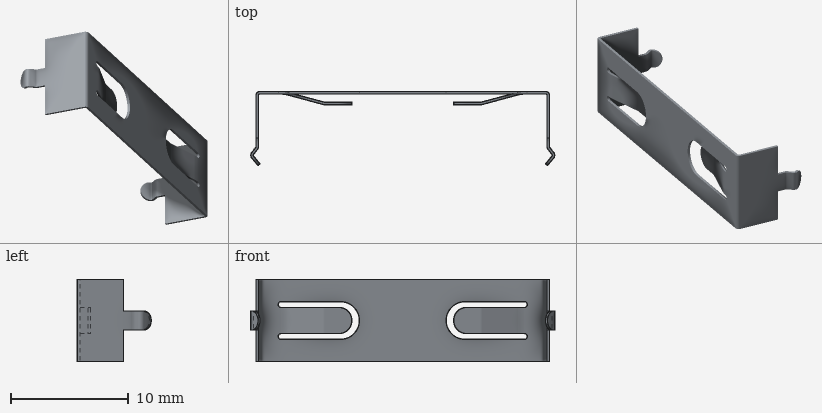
import cadquery as cq
import math

overall_length = 25.8
sheet = 0.23
height = 7.0

body_length = 24.92
leg_depth = 3.95
corner_inner_radius = 0.08

tab_width = 1.63
tab_neck = 0.72
tab_bend_radius = 0.15
tab_out_angle = 38.0
tab_return_angle = 40.0
tab_overhang = (overall_length - body_length) / 2

window_outer_end = 10.55
window_inner_end = 3.7
window_width = 3.17
window_corner_radius = 0.2
tongue_root = 10.32
tongue_end = 4.3
tongue_width = 2.25
tongue_angle = 15.0
tongue_drop = 0.9
tongue_root_radius = 2.06
tongue_tip_radius = 0.35


def step(point, heading, distance):
    """Point reached from `point` along `heading` (degrees)."""
    angle = math.radians(heading)
    return (point[0] + distance * math.cos(angle), point[1] + distance * math.sin(angle))


def bend_turn(centre, pose, angle):
    """Mid-surface pose after turning by `angle` around the bend centre."""
    point, heading = pose
    turn = math.radians(angle)
    dx, dy = point[0] - centre[0], point[1] - centre[1]
    turned = (
        centre[0] + dx * math.cos(turn) - dy * math.sin(turn),
        centre[1] + dx * math.sin(turn) + dy * math.cos(turn),
    )
    return turned, heading + angle


def face_point(pose, side):
    """Point on the left (+1) or right (-1) sheet face beside a mid-surface pose."""
    point, heading = pose
    return step(point, heading + 90, side * sheet / 2)


def folded_strip(start, moves, width):
    """Fold a strip along straight lengths and (inner radius, signed angle) bends.

    A pose is a mid-surface point with its heading. Returns the strip and its end pose.
    """
    pose = start
    spans = []
    for move in moves:
        point, heading = pose
        if isinstance(move, tuple):
            inner_radius, angle = move
            side = math.copysign(1, angle)
            centre = step(point, heading + 90, side * (inner_radius + sheet / 2))
            middle = bend_turn(centre, pose, angle / 2)
            end = bend_turn(centre, pose, angle)
        else:
            middle = None
            end = (step(point, heading, move), heading)
        spans.append((pose, middle, end))
        pose = end

    outline = cq.Workplane("XY").moveTo(*face_point(start, 1))
    for _, middle, end in spans:
        if middle:
            outline = outline.threePointArc(face_point(middle, 1), face_point(end, 1))
        else:
            outline = outline.lineTo(*face_point(end, 1))
    outline = outline.lineTo(*face_point(pose, -1))
    for begin, middle, _ in reversed(spans):
        if middle:
            outline = outline.threePointArc(face_point(middle, -1), face_point(begin, -1))
        else:
            outline = outline.lineTo(*face_point(begin, -1))
    return outline.close().extrude(width / 2, both=True), pose


def round_tip(pose, width):
    """Half disc of sheet that continues a strip of the given width."""
    (x, y), heading = pose
    forward = cq.Vector(*step((0, 0), heading, 1), 0)
    normal = cq.Vector(*step((0, 0), heading + 90, 1), 0)
    plane = cq.Plane(origin=(x, y, 0), xDir=forward, normal=normal)
    radius = width / 2
    half_disc = cq.Workplane(plane).moveTo(0, -radius).threePointArc((radius, 0), (0, radius)).close()
    return half_disc.extrude(sheet / 2, both=True)


def slope_length(offset, angle, first_radius, second_radius):
    """Straight length between two opposite bends that together shift the sheet by `offset`."""
    turn = math.radians(angle)
    mid_radii = first_radius + second_radius + sheet
    return (offset - mid_radii * (1 - math.cos(turn))) / math.sin(turn)


def half_body():
    """Left half of the back wall with its leg, and the pose at the leg's free edge."""
    corner_outer_radius = corner_inner_radius + sheet
    moves = [
        body_length / 2 - corner_outer_radius,
        (corner_inner_radius, 90),
        leg_depth - corner_outer_radius,
    ]
    return folded_strip(((0, -sheet / 2), 180), moves, height)


def snap_tab(leg_edge):
    slope = slope_length(tab_overhang, tab_out_angle, tab_bend_radius, tab_bend_radius)
    moves = [
        tab_neck,
        (tab_bend_radius, -tab_out_angle),
        slope,
        (tab_bend_radius, tab_out_angle + tab_return_angle),
    ]
    strip, end = folded_strip(leg_edge, moves, tab_width)
    return strip.union(round_tip(end, tab_width))


def window_cutter():
    """Round-ended window that leaves a short root for the tongue at its square end."""
    radius = window_width / 2
    arc_start = -window_inner_end - radius
    window = (
        cq.Workplane("XZ")
        .moveTo(-window_outer_end, -radius)
        .lineTo(arc_start, -radius)
        .threePointArc((-window_inner_end, 0), (arc_start, radius))
        .lineTo(-window_outer_end, radius)
        .close()
        .extrude(sheet)
    )
    root_length = window_outer_end - tongue_root
    root = cq.Workplane("XY").box(root_length, sheet, tongue_width)
    root = root.translate((-tongue_root - root_length / 2, -sheet / 2, 0))
    return window.cut(root).faces("<X").edges("|Y").fillet(window_corner_radius)


def spring_tongue():
    slope = slope_length(tongue_drop, tongue_angle, tongue_root_radius, tongue_tip_radius)
    turn = math.radians(tongue_angle)
    mid_radii = tongue_root_radius + tongue_tip_radius + sheet
    sloped_reach = mid_radii * math.sin(turn) + slope * math.cos(turn)
    flat = tongue_root - tongue_end - sloped_reach - tongue_width / 2
    moves = [
        (tongue_root_radius, -tongue_angle),
        slope,
        (tongue_tip_radius, tongue_angle),
        flat,
    ]
    strip, end = folded_strip(((-tongue_root, -sheet / 2), 0), moves, tongue_width)
    return strip.union(round_tip(end, tongue_width))


body, leg_edge = half_body()
left_half = body.union(snap_tab(leg_edge)).cut(window_cutter()).union(spring_tongue())
result = left_half.union(left_half.mirror("YZ")).clean()